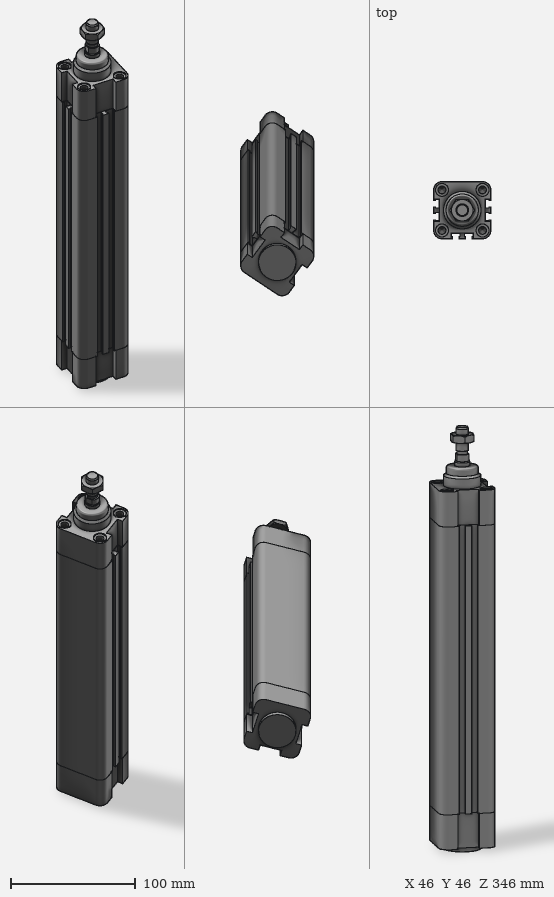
import cadquery as cq
import math

body_width = 46.0
corner_radius = 7.0

rear_spigot_length = 4.0
cap_length = 28.7
rear_cap_base = rear_spigot_length
barrel_base = rear_cap_base + cap_length
barrel_length = 236.3
front_cap_base = barrel_base + barrel_length
front_cap_top = front_cap_base + cap_length
rod_top = 346.0

spigot_diameter = 30.0
notch_width = 18.0
notch_depth = 5.0
collar_length = 8.3
gland_diameter = 26.0
gland_rounding = 2.0
shoulder_height = 1.7
gland_top = 314.0

hole_spacing = 32.5
counterbore_diameter = 10.5
counterbore_depth = 1.0
hole_diameter = 6.2
hole_depth = 7.0
drill_point_depth = hole_diameter / 2

slot_offset = 5.2
slot_opening = 5.2
slot_inner_width = 6.5
slot_lip = 1.7
slot_depth = 4.5

rod_diameter = 12.0
thread_diameter = 10.0
neck_diameter = 8.5
tip_diameter = neck_diameter
tip_chamfer_length = 1.5
thread_base = 326.5
rod_shoulder = 324.0

wrench_diameter = 11.5
wrench_base = 318.3
wrench_taper_length = 1.0
flat_width = 10.0

nut_width = 17.3
nut_height = 6.2
nut_base = 334.0
nut_chamfer_height = 0.7

slotted_sides = (-90, 0, 90)


def square_bar(base, length):
    bar = cq.Workplane("XY").workplane(offset=base).rect(body_width, body_width).extrude(length)
    return bar.edges("|Z").fillet(corner_radius)


def rod_bore():
    """Hole that the piston rod fills, open at the gland."""
    start = cq.Workplane("XY").workplane(offset=front_cap_base)
    return start.circle(rod_diameter / 2).extrude(gland_top - front_cap_base)


def cut_side_notches(cap, base):
    for angle in slotted_sides:
        notch = cq.Workplane("XY").box(notch_width, 2 * notch_depth, cap_length, centered=(True, True, False))
        notch = notch.translate((0, -body_width / 2, base)).rotate((0, 0, 0), (0, 0, 1), angle)
        cap = cap.cut(notch)
    return cap


def screw_hole():
    """Shallow counterbore over a blind hole with a conical bottom, its mouth at Z = 0."""
    return (
        cq.Workplane("XZ")
        .moveTo(0, -hole_depth - drill_point_depth)
        .lineTo(hole_diameter / 2, -hole_depth)
        .lineTo(hole_diameter / 2, -counterbore_depth)
        .lineTo(counterbore_diameter / 2, -counterbore_depth)
        .lineTo(counterbore_diameter / 2, 0)
        .lineTo(0, 0)
        .close()
        .revolve()
    )


def make_collar():
    """Centring collar, conical shoulder and rounded gland in one turned shape."""
    shoulder_base = front_cap_top + collar_length
    return (
        cq.Workplane("XZ")
        .moveTo(0, front_cap_top)
        .lineTo(spigot_diameter / 2, front_cap_top)
        .lineTo(spigot_diameter / 2, shoulder_base)
        .lineTo(gland_diameter / 2, shoulder_base + shoulder_height)
        .lineTo(gland_diameter / 2, gland_top - gland_rounding)
        .radiusArc((gland_diameter / 2 - gland_rounding, gland_top), -gland_rounding)
        .lineTo(0, gland_top)
        .close()
        .revolve()
    )


def make_front_cap():
    cap = cut_side_notches(square_bar(front_cap_base, cap_length), front_cap_base)
    for x in (-hole_spacing / 2, hole_spacing / 2):
        for y in (-hole_spacing / 2, hole_spacing / 2):
            cap = cap.cut(screw_hole().translate((x, y, front_cap_top)))
    return cap.union(make_collar()).cut(rod_bore())


def make_rear_cap():
    cap = cut_side_notches(square_bar(rear_cap_base, cap_length), rear_cap_base)
    spigot = cq.Workplane("XY").circle(spigot_diameter / 2).extrude(rear_spigot_length)
    return cap.union(spigot)


def sensor_slot(offset):
    """Undercut slot in the -Y side, running the whole barrel length."""
    opening = cq.Workplane("XY").box(slot_opening, 2 * slot_depth, barrel_length, centered=(True, True, False))
    inner_depth = slot_depth - slot_lip
    inner = cq.Workplane("XY").box(slot_inner_width, inner_depth, barrel_length, centered=(True, False, False))
    slot = opening.union(inner.translate((0, slot_lip, 0)))
    return slot.translate((offset, -body_width / 2, barrel_base))


def make_barrel():
    barrel = square_bar(barrel_base, barrel_length)
    for angle in slotted_sides:
        for offset in (-slot_offset, slot_offset):
            barrel = barrel.cut(sensor_slot(offset).rotate((0, 0, 0), (0, 0, 1), angle))
    return barrel


def make_piston_rod():
    rod = (
        cq.Workplane("XZ")
        .moveTo(0, front_cap_base)
        .lineTo(rod_diameter / 2, front_cap_base)
        .lineTo(rod_diameter / 2, wrench_base - wrench_taper_length)
        .lineTo(wrench_diameter / 2, wrench_base)
        .lineTo(wrench_diameter / 2, rod_shoulder)
        .lineTo(neck_diameter / 2, rod_shoulder)
        .lineTo(neck_diameter / 2, thread_base)
        .lineTo(thread_diameter / 2, thread_base)
        .lineTo(thread_diameter / 2, rod_top - tip_chamfer_length)
        .lineTo(tip_diameter / 2, rod_top)
        .lineTo(0, rod_top)
        .close()
        .revolve()
    )
    for side in (-1, 1):
        flat_cut = cq.Workplane("XY").box(
            rod_diameter, rod_diameter, rod_shoulder - wrench_base, centered=(True, True, False)
        )
        rod = rod.cut(flat_cut.translate((0, side * (flat_width + rod_diameter) / 2, wrench_base)))
    return rod


def make_nut():
    corner_diameter = nut_width / math.cos(math.pi / 6)
    hexagon = cq.Workplane("XY").polygon(6, corner_diameter).extrude(nut_height)
    rim_radius = corner_diameter / 2
    rim = (
        cq.Workplane("XZ")
        .lineTo(nut_width / 2, 0)
        .lineTo(rim_radius, nut_chamfer_height)
        .lineTo(rim_radius, nut_height - nut_chamfer_height)
        .lineTo(nut_width / 2, nut_height)
        .lineTo(0, nut_height)
        .close()
        .revolve()
    )
    bore = cq.Workplane("XY").circle(thread_diameter / 2).extrude(nut_height)
    return hexagon.intersect(rim).cut(bore).translate((0, 0, nut_base))


front_cap = make_front_cap()
barrel = make_barrel()
rear_cap = make_rear_cap()
piston_rod = make_piston_rod()
nut = make_nut()

result = cq.Compound.makeCompound(
    [front_cap.val(), barrel.val(), rear_cap.val(), piston_rod.val(), nut.val()]
)